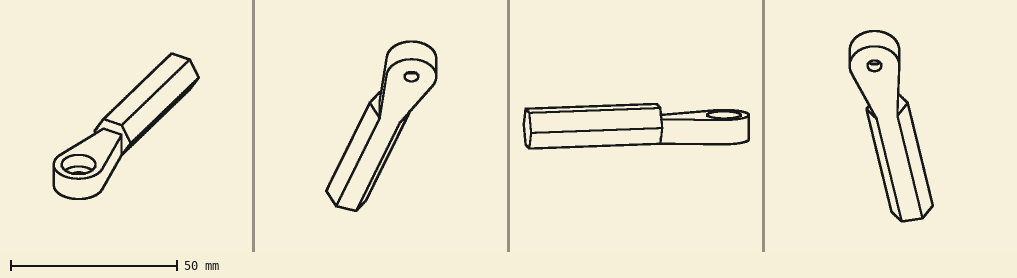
import cadquery as cq
import math

hex_height = 11.0
eye_diameter = 15.0
eye_thickness = 7.5
total_length = 67.5
neck_length = 20.0
hole_diameter = 4.1
counterbore_diameter = 10.1
counterbore_depth = 4.25

eye_radius = eye_diameter / 2
hex_length = total_length - eye_radius - neck_length
hex_corner_diameter = hex_height / math.cos(math.radians(30))
neck_half_width = hex_corner_diameter / 4


def hexagonal_handle():
    """Hexagonal bar along Y, resting on one of its flats."""
    return (
        cq.Workplane("XZ", origin=(0, neck_length, hex_height / 2))
        .polygon(6, hex_corner_diameter)
        .extrude(-hex_length)
    )


def tapered_eye():
    """Flat arm whose sides run from the handle's flat tangent to the round eye."""
    corner_distance = math.hypot(neck_half_width, neck_length)
    tangent_angle = math.atan2(neck_length, neck_half_width) - math.acos(eye_radius / corner_distance)
    tangent_x = eye_radius * math.cos(tangent_angle)
    tangent_y = eye_radius * math.sin(tangent_angle)
    return (
        cq.Workplane("XY")
        .moveTo(-neck_half_width, neck_length)
        .lineTo(-tangent_x, tangent_y)
        .threePointArc((0, -eye_radius), (tangent_x, tangent_y))
        .lineTo(neck_half_width, neck_length)
        .close()
        .extrude(eye_thickness)
    )


def drill_eye(body):
    """Cut the through hole and its counterbore from the top of the eye."""
    return (
        body.copyWorkplane(cq.Workplane("XY", origin=(0, 0, eye_thickness)))
        .cboreHole(hole_diameter, counterbore_diameter, counterbore_depth, eye_thickness)
    )


result = drill_eye(hexagonal_handle().union(tapered_eye()))